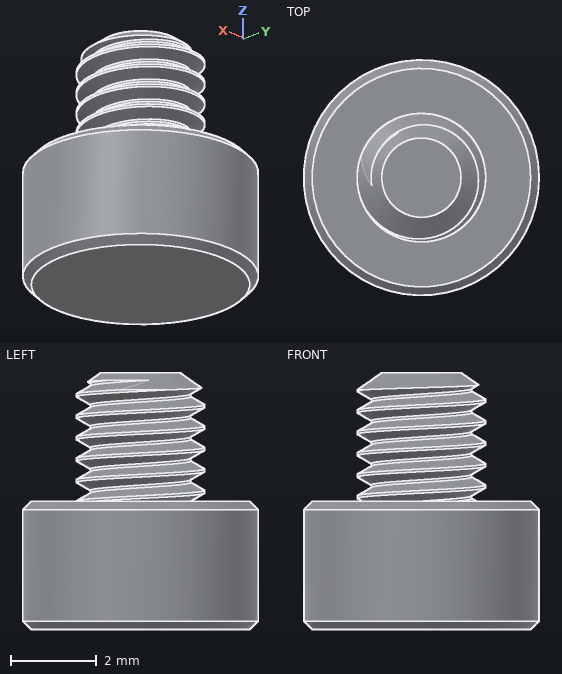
import cadquery as cq
import math

head_diameter = 5.5
head_height = 3.0
head_chamfer = 0.2

thread_diameter = 3.0
thread_pitch = 0.5
thread_half_angle = 30.0
shank_length = 3.0
crest_width = thread_pitch / 8
root_width = thread_pitch / 8
flank_width = (thread_pitch - crest_width - root_width) / 2
thread_depth = flank_width / math.tan(math.radians(thread_half_angle))
thread_radius = thread_diameter / 2
root_radius = thread_radius - thread_depth
shank_top = head_height + shank_length

crest_phase = 0.344

tip_inset = 0.25
tip_slope_angle = 35.0
tip_radius = root_radius - tip_inset

ridge_run_out = 2 * thread_pitch
core_run_out = 0.8
ridge_embed = 0.2
trim_clearance = 0.2


def make_head():
    head = cq.Workplane("XY").circle(head_diameter / 2).extrude(head_height)
    return head.edges("%CIRCLE").chamfer(head_chamfer)


def make_core():
    """Cylinder at the thread root, overlong at both ends."""
    core = cq.Workplane("XY").workplane(offset=head_height - core_run_out)
    return core.circle(root_radius).extrude(shank_length + 2 * core_run_out)


def make_thread_ridge():
    """Thread ridge swept along a helix, its foot buried in the core."""
    start = head_height + crest_phase - ridge_run_out
    helix = cq.Wire.makeHelix(thread_pitch, shank_length + ridge_run_out, root_radius)
    path = cq.Workplane(obj=helix.translate(cq.Vector(0, 0, start)))

    foot_radius = root_radius - ridge_embed
    half_crest = crest_width / 2
    half_foot = half_crest + flank_width
    profile = cq.Workplane("XZ").polyline([
        (foot_radius, start - half_foot),
        (root_radius, start - half_foot),
        (thread_radius, start - half_crest),
        (thread_radius, start + half_crest),
        (root_radius, start + half_foot),
        (foot_radius, start + half_foot),
    ]).close()
    return profile.sweep(path, isFrenet=True)


def make_trim_envelope():
    """Solid of revolution that ends the thread at the head and at the conical tip."""
    outer_radius = thread_radius + trim_clearance
    tip_slope = math.tan(math.radians(tip_slope_angle))
    cone_base = shank_top - (outer_radius - tip_radius) * tip_slope
    outline = cq.Workplane("XZ").polyline([
        (0, head_height),
        (outer_radius, head_height),
        (outer_radius, cone_base),
        (tip_radius, shank_top),
        (0, shank_top),
    ]).close()
    return outline.revolve(360, (0, 0), (0, 1))


shank = make_core().union(make_thread_ridge()).intersect(make_trim_envelope())
result = make_head().union(shank)